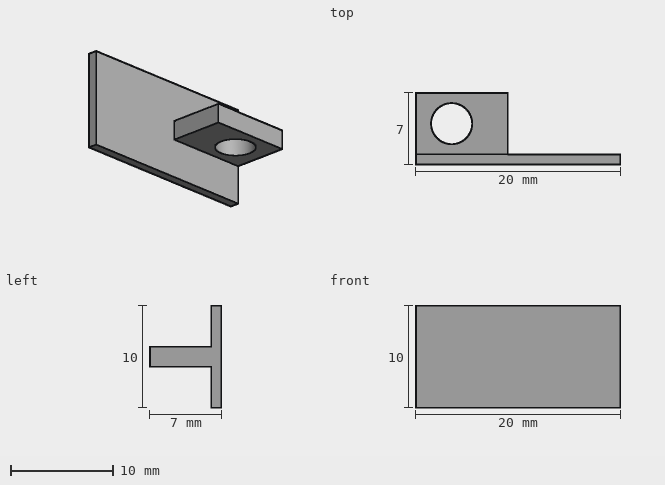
import cadquery as cq

plate_length = 20.0
plate_thickness = 1.0
plate_height = 10.0

tab_length = 9.0
tab_reach = 6.0
tab_thickness = 2.0

hole_diameter = 4.0
hole_center_x = 3.5
hole_center_y = plate_thickness + tab_reach / 2


def make_plate():
    """Flat plate with one lower corner at the origin."""
    return cq.Workplane("XY").box(plate_length, plate_thickness, plate_height, centered=False)


def make_tab():
    """Tab flush with the plate's -X end, with its mounting hole."""
    tab_bottom = (plate_height - tab_thickness) / 2
    tab = (
        cq.Workplane("XY")
        .box(tab_length, tab_reach, tab_thickness, centered=False)
        .translate((0, plate_thickness, tab_bottom))
    )
    hole = (
        cq.Workplane("XY")
        .workplane(offset=tab_bottom)
        .center(hole_center_x, hole_center_y)
        .circle(hole_diameter / 2)
        .extrude(tab_thickness)
    )
    return tab.cut(hole)


result = make_plate().union(make_tab())